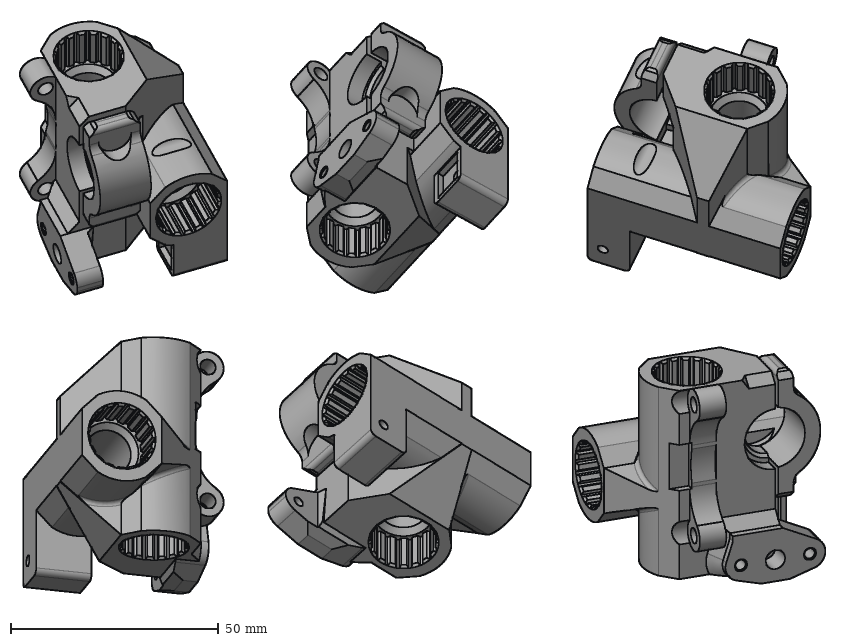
import cadquery as cq
import math


flat_half = 10.05
corner_half = 6.0
round_radius = 11.6
corner_end = 9.95
shoulder = flat_half + corner_half - corner_end

upright_height = 49.95
front_y = -flat_half
right_x = 19.0

cross_y = 14.0
cross_z = 20.0
cross_left = -20.05
cross_length = 50.0
cross_right = cross_left + cross_length
back_y = cross_y + flat_half

gusset_back_left = -1.55
gusset_back_right = 1.55
gusset_right_y = 2.0
gusset_slope = (right_x - gusset_back_right) / (back_y - gusset_right_y)
gusset_back_low = 13.8

web_tip_half = 0.25
web_tip_y = -9.3
web_end_x = -2.65
joint_fillet = 1.05

bore_radius = 5.75
seat_depth = 10.25
seat_radius = 7.85
groove_root_radius = 8.5
groove_count = 18
groove_mouth = 1.4
groove_floor = 0.65
rim_radius = 7.25

lug_radius = 4.0
lug_hole = 3.9
lug_left = -3.3
lug_right = 3.55
lug_y = -12.65
lug_z = (12.2, 46.8)
lug_mid_z = sum(lug_z) / 2
web_arc_radius = 9.65
web_root = 0.55
web_flat_half = 5.55
hollow_left = -2.75
hollow_radius = 18.05
hollow_half = 4.5
notch_floor_y = -8.2
notch_half = 6.05

clamp_z = 33.0
clamp_radius = 7.95
collar_radius = 5.9
collar_lead = 0.85
collar_front_y = -5.8
collar_back_y = -0.2
seat_back_y = 8.5
tube_clearance_y = 6.0
feed_hole = 5.0

cap_radius = 12.0
cap_gap = 1.0
cap_arm = 4.0
cap_half_height = upright_height - clamp_z
cap_front_y = -9.45
cap_back_y = 3.8
cap_fillet = 2.9
cap_mid_y = (cap_front_y + cap_back_y) / 2
cap_left = right_x + cap_gap
cap_arm_right = cap_left + cap_arm
cap_tip_fillet = 1.35
tip_bevel_z = 1.9
tip_bevel_y = 2.5
tip_knee = 1.55
screw_face_radius = 4.25
screw_offset = 12.6

flange_front_y = -15.05
flange_thick = 1.95
flange_mid_x = 17.0
flange_z = 3.45
flange_hole_offset = 9.0
flange_round = 4.05
flange_top_z = 11.5
flange_left_x = 5.95
flange_knee_z = 10.15
flange_foot_half = 3.7
bottom_z = -2.35
flange_rear_y = -6.4
flange_end_y = -8.3
flange_heel_y = -11.15
flange_rear_slope = [(-8.1, -1.55), (-7.25, 0)]
sensor_hole = 5.0
screw_hole = 3.2
screw_core = 2.65
blind_depth = 6.4

foot_round = 1.5
pocket_wall = 1.5
pocket_top_z = 8.45
pocket_depth = 1.6

edge_bevel = 2.5
bevel_start_x = 10.35
bevel_full_x = 12.1


def cylinder_y(radius, x, z, y_from, y_to):
    return cq.Workplane("XZ", origin=(x, y_from, z)).circle(radius).extrude(y_from - y_to)


def cylinder_x(radius, y, z, x_from, x_to):
    return cq.Workplane("YZ", origin=(x_from, y, z)).circle(radius).extrude(x_to - x_from)


def box(x_from, x_to, y_from, y_to, z_from, z_to):
    size = (x_to - x_from, y_to - y_from, z_to - z_from)
    return cq.Workplane("XY").box(*size, centered=False).translate((x_from, y_from, z_from))


def yz_prism(points, x_from, x_to):
    return cq.Workplane("YZ", origin=(x_from, 0, 0)).polyline(points).close().extrude(x_to - x_from)


def xy_prism(points, z_from, z_to):
    return cq.Workplane("XY", origin=(0, 0, z_from)).polyline(points).close().extrude(z_to - z_from)



def upright():
    """Upright without its bevelled front corner, which side_bevel cuts after the joint is filleted."""
    side_depth = round_radius - corner_end
    arc_radius = (side_depth**2 + shoulder**2) / (2 * side_depth)
    arc_x = arc_radius - round_radius
    return (
        cq.Workplane("XY")
        .moveTo(right_x, front_y)
        .lineTo(arc_x - math.sqrt(arc_radius**2 - front_y**2), front_y)
        .threePointArc((-round_radius, 0), (-corner_end, shoulder))
        .lineTo(-corner_half, flat_half)
        .lineTo(*gusset_right_at(flat_half))
        .lineTo(right_x, gusset_right_y)
        .close()
        .extrude(upright_height)
    )


def gusset_right_at(y):
    """Point of the gusset's slanted right wall at a given y."""
    return (gusset_back_right + gusset_slope * (back_y - y), y)


def gusset():
    plan = xy_prism(
        [
            (-corner_half, flat_half),
            (gusset_back_left, back_y),
            (gusset_back_right, back_y),
            gusset_right_at(flat_half),
        ],
        0,
        upright_height,
    )
    side = yz_prism(
        [
            (flat_half, 0),
            (back_y, gusset_back_low),
            (back_y, upright_height - (back_y - flat_half)),
            (flat_half, upright_height),
        ],
        -flat_half,
        right_x,
    )
    return plan.intersect(side)


def cross_tube():
    return (
        cq.Workplane("YZ", origin=(cross_left, cross_y, cross_z))
        .moveTo(flat_half, corner_half)
        .lineTo(shoulder, corner_end)
        .threePointArc((0, round_radius), (-shoulder, corner_end))
        .lineTo(-flat_half, corner_half)
        .lineTo(-flat_half, -corner_half)
        .lineTo(-shoulder, -corner_end)
        .threePointArc((0, -round_radius), (shoulder, -corner_end))
        .lineTo(flat_half, -corner_half)
        .close()
        .extrude(cross_length)
    )


def side_web():
    """Tapered web from the cross tube's front face, thinning along the side of the upright."""
    tube_front_y = cross_y - flat_half
    return yz_prism(
        [
            (tube_front_y, cross_z - corner_half),
            (tube_front_y, cross_z + corner_half),
            (web_tip_y, cross_z + web_tip_half),
            (web_tip_y, cross_z - web_tip_half),
        ],
        cross_left,
        web_end_x,
    )


def side_bevel():
    """45 degree cut along the left front corner, shared by the upright and the web."""
    tube_front_y = cross_y - flat_half
    reach = flat_half + corner_half
    return xy_prism(
        [
            (-corner_half, front_y),
            (-reach - tube_front_y, tube_front_y),
            (cross_left, tube_front_y),
            (cross_left, front_y),
        ],
        0,
        upright_height,
    )


def joined_tubes():
    """Upright, gusset, cross tube and web, filleted beside the web and over the gusset's left wall."""
    joint_bottom = cross_z - round_radius - joint_fillet
    joint_top = cross_z + round_radius + joint_fillet
    web_joint = cq.selectors.BoxSelector(
        (-round_radius - joint_fillet, front_y + joint_fillet, joint_bottom),
        (web_end_x, cross_y - flat_half, joint_top),
    )
    gusset_joint = cq.selectors.BoxSelector(
        (-corner_half, flat_half, joint_bottom),
        (web_end_x, cross_y + shoulder, joint_top),
    )
    frame = upright().union(gusset()).union(cross_tube()).union(side_web())
    frame = frame.edges(web_joint + gusset_joint).fillet(joint_fillet)
    return frame.cut(side_bevel())


def corner_fill():
    """Square corner beside the cross tube, below the slanted wall."""
    return box(0, right_x, gusset_right_y, cross_y, cross_z - corner_half, cross_z + corner_half)



def seat_cutter():
    """Splined seat entering along +Z from the origin, with its bevelled mouth and floor rim."""
    rim_depth = rim_radius - bore_radius
    mouth = groove_root_radius - seat_radius
    cutter = (
        cq.Workplane("XZ")
        .polyline(
            [
                (0, 0),
                (groove_root_radius, 0),
                (seat_radius, mouth),
                (seat_radius, seat_depth),
                (rim_radius, seat_depth),
                (bore_radius, seat_depth + rim_depth),
                (0, seat_depth + rim_depth),
            ]
        )
        .close()
        .revolve(360, (0, 0, 0), (0, 1, 0))
    )
    groove = xy_prism(
        [
            (rim_radius, -groove_mouth / 2),
            (seat_radius, -groove_mouth / 2),
            (groove_root_radius, -groove_floor / 2),
            (groove_root_radius, groove_floor / 2),
            (seat_radius, groove_mouth / 2),
            (rim_radius, groove_mouth / 2),
        ],
        0,
        seat_depth,
    )
    for i in range(groove_count):
        cutter = cutter.union(groove.rotate((0, 0, 0), (0, 0, 1), i * 360 / groove_count))
    return cutter


def bore_cutter(length, turn):
    """Bore along +Z with a splined seat at each end; turn rotates the grooves about the axis."""
    seat = seat_cutter().rotate((0, 0, 0), (0, 0, 1), turn)
    far_seat = seat.rotate((0, 0, 0), (1, 0, 0), 180).translate((0, 0, length))
    return cq.Workplane("XY").circle(bore_radius).extrude(length).union(seat).union(far_seat)



def lug_web(side):
    """Web from the front face to one lug, tangent to both; side is +1 for the upper lug."""
    lug_offset = lug_mid_z - lug_z[0]
    arc_y = front_y - web_arc_radius
    angle = math.atan2(lug_offset - web_flat_half, lug_y - arc_y)

    def on_arc(a):
        y = arc_y + web_arc_radius * math.cos(a)
        return (y, lug_mid_z + side * (web_flat_half + web_arc_radius * math.sin(a)))

    return (
        cq.Workplane("YZ", origin=(lug_left, 0, 0))
        .moveTo(*on_arc(0))
        .threePointArc(on_arc(angle / 2), on_arc(angle))
        .lineTo(lug_y, lug_mid_z + side * lug_offset)
        .lineTo(front_y + web_root, lug_mid_z + side * lug_offset)
        .lineTo(front_y + web_root, lug_mid_z + side * web_flat_half)
        .close()
        .extrude(lug_right - lug_left)
    )


def lugs():
    body = lug_web(1).union(lug_web(-1))
    for z in lug_z:
        body = body.union(cylinder_x(lug_radius, lug_y, z, lug_left, lug_right))
    return body


def lug_cuts():
    """Lug holes, the screw access beside each lug, and the hollow and notch between them."""
    cuts = box(
        -round_radius,
        hollow_left,
        front_y - web_arc_radius,
        notch_floor_y,
        lug_mid_z - notch_half,
        lug_mid_z + notch_half,
    )
    hollow_y = front_y - math.sqrt(hollow_radius**2 - hollow_half**2)
    hollow = cylinder_x(hollow_radius, hollow_y, lug_mid_z, hollow_left, lug_right)
    inside = box(hollow_left, lug_right, front_y, back_y, 0, upright_height)
    cuts = cuts.union(hollow.intersect(inside))
    for z in lug_z:
        cuts = cuts.union(cylinder_x(lug_hole / 2, lug_y, z, lug_left, lug_right))
        cuts = cuts.union(cylinder_x(lug_radius, lug_y, z, -round_radius, lug_left))
    return cuts



def flange_outline(y):
    """Flange outline as a sketch on the XZ plane at a given y."""
    left = flange_mid_x - flange_hole_offset
    right = flange_mid_x + flange_hole_offset
    foot_left = flange_mid_x - flange_foot_half
    foot_right = flange_mid_x + flange_foot_half

    def tangent(from_x, from_z, centre_x, turn):
        """Point where the line from (from_x, from_z) touches the round end about centre_x."""
        dx = from_x - centre_x
        dz = from_z - flange_z
        a = math.atan2(dz, dx) + turn * math.acos(flange_round / math.hypot(dx, dz))
        return (centre_x + flange_round * math.cos(a), flange_z + flange_round * math.sin(a))

    return (
        cq.Workplane("XZ", origin=(0, y, 0))
        .moveTo(flange_left_x, flange_top_z)
        .lineTo(right_x, flange_top_z)
        .lineTo(*tangent(right_x, flange_top_z, right, -1))
        .threePointArc((right + flange_round, flange_z), tangent(foot_right, bottom_z, right, 1))
        .lineTo(foot_right, bottom_z)
        .lineTo(foot_left, bottom_z)
        .lineTo(*tangent(foot_left, bottom_z, left, -1))
        .threePointArc((left - flange_round, flange_z), tangent(flange_left_x, flange_knee_z, left, 1))
        .lineTo(flange_left_x, flange_knee_z)
        .close()
    )


def skirt_corner(spread):
    """Rectangle at the flange's top left corner, grown by spread to the left and upwards."""
    return [
        (flange_left_x - spread, flange_knee_z),
        (right_x, flange_knee_z),
        (right_x, flange_top_z + spread),
        (flange_left_x - spread, flange_top_z + spread),
    ]


def flange():
    """Flange plate with a deeper right end and a 45 degree skirt that spreads onto the upright."""
    plate = flange_outline(flange_front_y).extrude(flange_front_y - flange_rear_y)
    plan = xy_prism(
        [
            (-corner_half, flange_front_y),
            (cross_right, flange_front_y),
            (cross_right, flange_end_y),
            (right_x + cap_gap, flange_end_y),
            (right_x, flange_rear_y),
            (-corner_half, flange_rear_y),
        ],
        bottom_z,
        flange_top_z,
    )
    side = yz_prism(
        [
            (flange_front_y, bottom_z),
            (flange_heel_y, bottom_z),
            *flange_rear_slope,
            (flange_rear_y, flange_top_z),
            (flange_front_y, flange_top_z),
        ],
        -corner_half,
        cross_right,
    )
    skirt_start_y = flange_front_y + flange_thick
    depth = front_y - skirt_start_y
    skirt = flange_outline(skirt_start_y).extrude(-depth, taper=-45)
    mitre = (
        cq.Workplane("XZ", origin=(0, skirt_start_y, 0))
        .polyline(skirt_corner(0))
        .close()
        .workplane(offset=-depth)
        .polyline(skirt_corner(depth))
        .close()
        .loft(ruled=True)
    )
    skirt = skirt.union(mitre)
    skirt = skirt.intersect(box(-corner_half, right_x, flange_front_y, front_y, 0, upright_height))
    return plate.intersect(plan).intersect(side).union(skirt)


def flange_cuts():
    left = flange_mid_x - flange_hole_offset
    right = flange_mid_x + flange_hole_offset
    blind_y = flange_front_y + blind_depth
    bevel = (screw_hole - screw_core) / 2
    cuts = cylinder_y(sensor_hole / 2, flange_mid_x, flange_z, flange_front_y, blind_y)
    for x, end_y in ((left, blind_y), (right, back_y)):
        cuts = cuts.union(cylinder_y(screw_core / 2, x, flange_z, flange_front_y, end_y))
        lead = (
            cq.Workplane("XZ", origin=(x, flange_front_y, flange_z))
            .circle(screw_hole / 2)
            .extrude(-bevel, taper=45)
        )
        cuts = cuts.union(lead)
    return cuts



def foot_block():
    foot = box(right_x, cross_right, flat_half, back_y, bottom_z, cross_z - round_radius)
    foot = foot.edges("|Y and <Z").fillet(foot_round)
    return foot.union(box(right_x, cross_right, flat_half, back_y, cross_z - round_radius, cross_z))


def foot_pocket():
    return box(
        right_x + pocket_wall,
        cross_right - pocket_wall,
        flat_half,
        flat_half + pocket_depth,
        bottom_z + pocket_wall,
        pocket_top_z,
    )



def clamp_seat():
    """Stepped seat along Y; its collar is the groove ring that the cap presses against."""
    front = cylinder_y(clamp_radius, right_x, clamp_z, front_y, collar_front_y)
    lead = (
        cq.Workplane("XZ", origin=(right_x, collar_front_y, clamp_z))
        .circle(collar_radius + collar_lead)
        .extrude(-collar_lead, taper=45)
    )
    collar = cylinder_y(collar_radius, right_x, clamp_z, collar_front_y, collar_back_y)
    back = cylinder_y(clamp_radius, right_x, clamp_z, collar_back_y, seat_back_y)
    return front.union(lead).union(collar).union(back)


def edge_bevel_cut():
    """45 degree bevel on the front top edge, closed at its left end by a slanted facet."""
    bevel = yz_prism(
        [
            (front_y, upright_height - edge_bevel),
            (front_y + edge_bevel, upright_height),
            (front_y, upright_height),
        ],
        bevel_full_x,
        right_x,
    )
    return bevel.union(bevel_tip())


def bevel_tip():
    """Four-sided tip that ends the bevel."""
    corner = (bevel_full_x, front_y, upright_height)
    left = (bevel_start_x, front_y, upright_height)
    below = (bevel_full_x, front_y, upright_height - edge_bevel)
    behind = (bevel_full_x, front_y + edge_bevel, upright_height)
    sides = [
        (left, below, corner),
        (left, corner, behind),
        (corner, below, behind),
        (left, behind, below),
    ]
    faces = []
    for side in sides:
        outline = cq.Wire.makePolygon([cq.Vector(*point) for point in side], close=True)
        faces.append(cq.Face.makeFromWires(outline))
    return cq.Workplane(cq.Solid.makeSolid(cq.Shell.makeShell(faces)))



def make_housing():
    body = joined_tubes().cut(clamp_seat().cut(cross_tube()))
    for feature in (corner_fill(), foot_block(), lugs(), flange()):
        body = body.union(feature)

    tube_clearance = cylinder_y(clamp_radius, right_x, clamp_z, collar_back_y, tube_clearance_y)
    feed = cylinder_y(feed_hole / 2, right_x, clamp_z, tube_clearance_y, back_y)
    upright_bore = bore_cutter(upright_height, 0)
    half_pitch = 180 / groove_count
    cross_bore = bore_cutter(cross_length, half_pitch).rotate((0, 0, 0), (0, 1, 0), 90)
    cross_bore = cross_bore.translate((cross_left, cross_y, cross_z))
    cuts = (lug_cuts(), flange_cuts(), foot_pocket(), tube_clearance, feed, edge_bevel_cut())
    for cut in cuts + (upright_bore, cross_bore):
        body = body.cut(cut)
    return body



def cap_arm_bar():
    """Straight clamping bar with rounded and bevelled tips."""
    low_z = clamp_z - cap_half_height
    blank = box(cap_left, cap_arm_right, cap_front_y, cap_back_y, low_z, upright_height)
    rounded = blank.edges("|Y").fillet(cap_tip_fillet)
    y = (cap_back_y - cap_front_y) / 2
    side_points = []
    for sy, sz in ((1, 1), (-1, 1), (-1, -1), (1, -1)):
        corner = [
            (sy * y, sz * (cap_half_height - tip_bevel_z)),
            (sy * (y - tip_knee), sz * (cap_half_height - tip_bevel_z + tip_knee)),
            (sy * (y - tip_bevel_y), sz * cap_half_height),
        ]
        side_points += corner if sy == sz else corner[::-1]
    bevelled = yz_prism(side_points, cap_left, cap_arm_right).translate((0, cap_mid_y, clamp_z))
    return rounded.intersect(bevelled)


def make_cap():
    cap_right = right_x + cap_radius
    ring = cylinder_y(cap_radius, right_x, clamp_z, cap_front_y, cap_back_y)
    ring = ring.intersect(box(cap_left, cap_right, cap_front_y, cap_back_y, 0, upright_height))
    neck_half = math.sqrt(cap_radius**2 - (cap_arm_right - right_x) ** 2)
    cap = cap_arm_bar().union(ring)
    for side in (-1, 1):
        neck = (cap_arm_right, cap_mid_y, clamp_z + side * neck_half)
        cap = cap.edges(cq.selectors.NearestToPointSelector(neck)).fillet(cap_fillet)
    cap = cap.cut(cylinder_y(clamp_radius, right_x, clamp_z, cap_front_y, cap_back_y))
    for side in (-1, 1):
        screw_z = clamp_z + side * screw_offset
        cap = cap.cut(cylinder_x(screw_face_radius, cap_mid_y, screw_z, cap_arm_right, cap_right))
    return cap


housing = make_housing()
cap = make_cap()
result = cq.Compound.makeCompound([housing.solids().val(), cap.solids().val()])